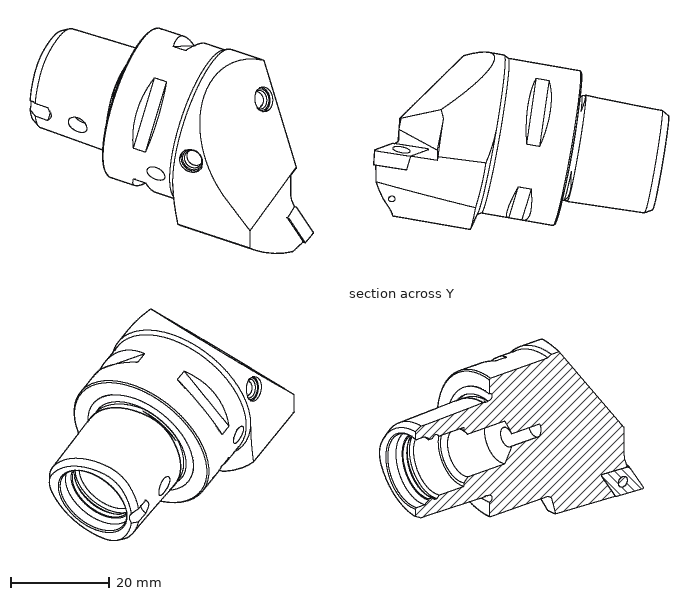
import cadquery as cq
import math


shank_length = 19.0
shank_corner_reach = 11.55
shank_flat_reach = 10.5
corner_center_offset = 4.5
shank_taper_inset = 0.4
nose_chamfer_length = 1.5
nose_chamfer_inset = 0.85
neck_length = 1.6
neck_straight_length = 0.9
neck_inset = 0.1
neck_corner_radius = 10.9

mouth_radius, mouth_chamfer = 8.15, 0.3
guide_radius, guide_depth = 7.9, 2.4
land_radius, land_depth = 7.2, 3.45
main_radius, main_end = 6.9, 12.5
groove_radius, groove_start, groove_end = 7.5, 4.4, 6.15
seat_radius = 6.15
inner_radius, inner_start, inner_end = 5.1, 13.5, 23.0
coolant_radius, coolant_end = 2.08, 32.0
drill_half_angle = math.radians(59)

flange_radius = 16.0
flange_length = 15.1
flange_chamfer = 0.3
trough_outer_radius = 12.5
trough_inner_radius = 11.0
collar_length = 0.35

head_start = 16.0
head_radius = 16.5
head_reach = 45.0
shoulder_angle = math.radians(15)
nose_draft = 6.0
end_face_x = 34.95
end_fillet_radius = 7.6
bevel_angle = math.radians(40)
bevel_start_x = 18.2
top_cut_normal = cq.Vector(7.3, -1.13, 5.4).normalized()
top_cut_point = cq.Vector(27.85, -head_radius, 0)

tip_x, tip_z = 40.0, -22.0
insert_edge = 7.75
insert_angle = 55.0
insert_lead = 3.0
insert_thickness = 3.18
insert_relief = 7.0
tip_radius = 0.4
bottom_overhang = 0.15
flank_overhang = 0.38
chip_floor_x, chip_floor_z = 27.0, -15.0
chip_top_z = -6.4

screw_head_radius, screw_head_height = 1.8, 1.2
screw_radius, screw_length = 1.1, 7.0
screw_point_radius, screw_reach = 0.65, 9.5

socket_radius = 2.5
sleeve_sink = 0.85
sleeve_chamfer = 0.3
ball_radius = 1.9
ball_depth = 2.9
side_nozzle_x = 19.5
side_nozzle_angle = math.radians(22.8)
top_nozzle_x, top_nozzle_y = 26.3, 5.95


def polar(radius, degrees):
    angle = math.radians(degrees)
    return cq.Vector(radius * math.cos(angle), radius * math.sin(angle))


def revolve_about_x(profile):
    """Turn a closed outline of (x, radius) points about the X axis."""
    return cq.Workplane("XY").polyline(profile).close().revolve(360, (0, 0), (1, 0))


def polygon_wire(x, inset):
    """Three-cornered section with tangent arcs, one corner toward +Y, pulled inward by inset."""
    reach_gap = shank_corner_reach - shank_flat_reach
    side_center_offset = (2 * reach_gap * corner_center_offset - reach_gap**2) / (
        corner_center_offset - 2 * reach_gap
    )
    corner_radius = shank_corner_reach - corner_center_offset
    corner_center = polar(corner_center_offset, 0)
    seam_ray = corner_center - polar(side_center_offset, 240)
    seam = corner_center + seam_ray.normalized() * (corner_radius - inset)
    seam_radius = math.hypot(seam.x, seam.y)
    seam_angle = math.degrees(math.atan2(seam.y, seam.x))

    section = cq.Workplane("YZ", origin=(x, 0, 0)).moveTo(*polar(seam_radius, -seam_angle).toTuple()[:2])
    for corner in (0, 120, 240):
        section = section.threePointArc(
            polar(shank_corner_reach - inset, corner).toTuple()[:2],
            polar(seam_radius, corner + seam_angle).toTuple()[:2],
        ).threePointArc(
            polar(shank_flat_reach - inset, corner + 60).toTuple()[:2],
            polar(seam_radius, corner + 120 - seam_angle).toTuple()[:2],
        )
    return section.close().val()


def make_shank():
    sections = [
        polygon_wire(-shank_length, shank_taper_inset + nose_chamfer_inset),
        polygon_wire(nose_chamfer_length - shank_length, shank_taper_inset),
        polygon_wire(-neck_length, 0),
    ]
    cone = cq.Workplane(cq.Solid.makeLoft(sections, True))
    neck = cq.Workplane(
        cq.Solid.extrudeLinear(polygon_wire(-neck_length, neck_inset), [], cq.Vector(neck_length, 0, 0))
    )
    corner_relief = revolve_about_x(
        [
            (-neck_length, 0),
            (-neck_length, shank_corner_reach),
            (-neck_straight_length, neck_corner_radius),
            (0, neck_corner_radius),
            (0, 0),
        ]
    )
    return cone.union(neck.intersect(corner_relief))


def make_bore():
    """Stepped bore, with depths counted from the free end of the shank."""
    inner_tip = (inner_radius - coolant_radius) / math.tan(drill_half_angle)
    coolant_tip = coolant_radius / math.tan(drill_half_angle)
    groove_depth = groove_radius - main_radius
    steps = [
        (0, 0),
        (0, mouth_radius),
        (mouth_chamfer, guide_radius),
        (guide_depth, guide_radius),
        (land_depth, land_radius),
        (land_depth, main_radius),
        (groove_start, main_radius),
        (groove_start + groove_depth, groove_radius),
        (groove_end - groove_depth, groove_radius),
        (groove_end, main_radius),
        (main_end, main_radius),
        (main_end, seat_radius),
        (inner_start, inner_radius),
        (inner_end, inner_radius),
        (inner_end + inner_tip, coolant_radius),
        (coolant_end, coolant_radius),
        (coolant_end + coolant_tip, 0),
    ]
    return revolve_about_x([(depth - shank_length, radius) for depth, radius in steps])


def make_shank_keyway():
    """Round channel along the -Y side, open at the free end, with a drilled end."""
    radius, axis_y, length = 2.1, -10.8, 4.3
    tip = radius / math.tan(drill_half_angle)
    channel = revolve_about_x([(0, 0), (0, radius), (length, radius), (length + tip, 0)])
    return channel.translate((-shank_length, axis_y, 0))


def make_shank_cross_hole():
    """Blind hole in the -Y side, stopping short of the bore."""
    x, radius, floor_reach = -7.9, 2.1, 7.5
    hole = cq.Workplane("XZ", origin=(x, -floor_reach, 0)).circle(radius)
    return hole.extrude(shank_corner_reach - floor_reach)


def make_flange():
    trough_depth = (trough_outer_radius - trough_inner_radius) / 2
    trough_bottom = (trough_depth, trough_inner_radius + trough_depth)
    return (
        cq.Workplane("XY")
        .moveTo(-collar_length, 0)
        .lineTo(-collar_length, trough_inner_radius)
        .lineTo(0, trough_inner_radius)
        .threePointArc(trough_bottom, (0, trough_outer_radius))
        .lineTo(0, flange_radius - flange_chamfer)
        .lineTo(flange_chamfer, flange_radius)
        .lineTo(flange_length, flange_radius)
        .lineTo(head_start, head_radius)
        .lineTo(head_start, 0)
        .close()
        .revolve(360, (0, 0), (1, 0))
    )


def make_gripper_slot(angle):
    """Trapezoidal slot across the flange; its floor faces the given angle from +Y."""
    slot_x, floor_radius, floor_width, mouth_width = 8.05, 14.13, 2.7, 4.7
    slot = (
        cq.Workplane("XY")
        .polyline(
            [
                (slot_x - floor_width / 2, floor_radius),
                (slot_x - mouth_width / 2, flange_radius),
                (slot_x + mouth_width / 2, flange_radius),
                (slot_x + floor_width / 2, floor_radius),
            ]
        )
        .close()
        .extrude(flange_radius, both=True)
    )
    return slot.rotate((0, 0, 0), (1, 0, 0), angle)


def make_index_dimple():
    x, radius = 12.05, 2.0
    depth = radius / math.tan(drill_half_angle)
    dimple = cq.Solid.makeCone(radius, 0, depth, cq.Vector(x, -flange_radius, 0), cq.Vector(0, 1, 0))
    return cq.Workplane(dimple)


lower_direction = 180 - insert_lead
end_direction = lower_direction - insert_angle
bisector = lower_direction - insert_angle / 2
half_angle = math.radians(insert_angle / 2)
tip_arc_center = cq.Vector(tip_x - tip_radius, tip_z + tip_radius)
sharp_tip = tip_arc_center - polar(tip_radius / math.sin(half_angle), bisector)
insert_center = sharp_tip + polar(insert_edge * math.cos(half_angle), bisector)


def make_insert():
    corners = [
        sharp_tip,
        sharp_tip + polar(insert_edge, end_direction),
        sharp_tip + polar(insert_edge, end_direction) + polar(insert_edge, lower_direction),
        sharp_tip + polar(insert_edge, lower_direction),
        sharp_tip,
    ]
    outline = cq.Sketch().polygon([corner.toTuple()[:2] for corner in corners]).vertices().fillet(tip_radius)
    return cq.Workplane("XZ").placeSketch(outline).extrude(insert_thickness, taper=insert_relief)


def make_screw():
    profile = [
        (0, 0),
        (screw_head_radius, 0),
        (screw_radius, screw_head_height),
        (screw_radius, screw_length),
        (screw_point_radius, screw_length + screw_radius - screw_point_radius),
        (screw_point_radius, screw_reach),
        (0, screw_reach),
    ]
    screw = cq.Workplane("XY").polyline(profile).close().revolve(360, (0, 0), (0, 1))
    return screw.rotate((0, 0, 0), (0, 0, 1), 180).translate((insert_center.x, 0, insert_center.y))


def make_screw_outlet():
    """Hole beyond the screw's point, out through the belly of the jaw."""
    plane = cq.Workplane("XZ", origin=(insert_center.x, 0, insert_center.y))
    return plane.circle(screw_point_radius).extrude(head_radius)


def make_head_section():
    """Section across X: round above, a flat on -Y, and a jaw reaching down to the insert."""
    web_angle = math.radians(24.5)
    web_start = (head_radius * math.sin(web_angle), -head_radius * math.cos(web_angle))
    web_middle, web_end = (3.9, -17.3), (0.3, -22.3)
    belly_start_z = -12.5
    belly_middle, belly_end = (-7.36, -20.8), (-1.6, -23.1)
    return (
        cq.Workplane("YZ", origin=(head_start, 0, 0))
        .moveTo(-head_radius, 0)
        .threePointArc((0, head_radius), (head_radius, 0))
        .threePointArc((head_radius * math.sin(math.pi / 4), -head_radius * math.cos(math.pi / 4)), web_start)
        .threePointArc(web_middle, web_end)
        .lineTo(*belly_end)
        .threePointArc(belly_middle, (-head_radius, belly_start_z))
        .close()
        .extrude(head_reach - head_start)
    )


def make_shoulder():
    """Turned envelope that gives the jaw its conical back face."""
    outer_radius = 30.0
    shoulder_end = head_start + (outer_radius - head_radius) * math.tan(shoulder_angle)
    return revolve_about_x(
        [
            (head_start, 0),
            (head_start, head_radius),
            (shoulder_end, outer_radius),
            (head_reach, outer_radius),
            (head_reach, 0),
        ]
    )


def make_nose_envelope():
    """End, flank and bottom faces of the jaw, all relieved toward -Y."""
    margin = 10.0
    back_x, top_z = head_start - margin, head_radius + margin
    lower_slope = math.tan(math.radians(insert_lead))
    flank_slope = math.tan(math.radians(end_direction))
    bottom_point = sharp_tip + polar(bottom_overhang, lower_direction - 90)
    flank_point = sharp_tip + polar(flank_overhang, end_direction + 90)
    corner_x = (
        bottom_point.y - flank_point.y + lower_slope * bottom_point.x + flank_slope * flank_point.x
    ) / (lower_slope + flank_slope)
    corner_z = flank_point.y + flank_slope * (corner_x - flank_point.x)
    bend_z = flank_point.y + flank_slope * (end_face_x - flank_point.x)

    bend_angle = math.radians(end_direction - 90)
    tangent_length = end_fillet_radius * math.tan(bend_angle / 2)
    fillet_top = (end_face_x, bend_z + tangent_length)
    fillet_bottom = cq.Vector(end_face_x, bend_z) - polar(tangent_length, end_direction)
    fillet_middle = (
        end_face_x + end_fillet_radius * (1 - math.cos(bend_angle / 2)),
        fillet_top[1] - end_fillet_radius * math.sin(bend_angle / 2),
    )
    outline = (
        cq.Workplane("XZ")
        .moveTo(back_x, top_z)
        .lineTo(end_face_x, top_z)
        .lineTo(*fillet_top)
        .threePointArc(fillet_middle, fillet_bottom.toTuple()[:2])
        .lineTo(corner_x, corner_z)
        .lineTo(back_x, bottom_point.y + lower_slope * (bottom_point.x - back_x))
        .close()
        .val()
    )
    face = cq.Face.makeFromWires(outline)
    depth = head_radius + 1
    front_half = cq.Solid.extrudeLinear(face, cq.Vector(0, -depth, 0), nose_draft)
    rear_half = cq.Solid.extrudeLinear(face, cq.Vector(0, depth, 0), -nose_draft)
    return cq.Workplane(front_half).union(cq.Workplane(rear_half))


def make_bevel():
    """Material removed from the +Y side of the head by the upright bevel."""
    end_y = head_radius - (head_reach - bevel_start_x) * math.tan(bevel_angle)
    return (
        cq.Workplane("XY")
        .polyline([(bevel_start_x, head_radius), (head_reach, head_radius), (head_reach, end_y)])
        .close()
        .extrude(2 * head_radius, both=True)
    )


def make_top_cut():
    cut_size = 120.0
    plane = cq.Plane(origin=top_cut_point, normal=top_cut_normal)
    return cq.Workplane(plane).rect(cut_size, cut_size).extrude(cut_size / 2)


def make_chip_pocket():
    """Space above the insert's cutting face, open toward the tip."""
    bottom_z = tip_z - insert_thickness
    corners = [
        (chip_floor_x, bottom_z),
        (chip_floor_x, chip_floor_z),
        (end_face_x, chip_top_z),
        (head_reach, chip_top_z),
        (head_reach, bottom_z),
    ]
    outline = cq.Workplane("XZ").polyline(corners).close()
    return outline.extrude(-head_radius)


def along_axis(seat, depth):
    mouth, outward = seat
    return mouth - outward * depth


def make_ball(seat):
    return cq.Workplane(cq.Solid.makeSphere(ball_radius, along_axis(seat, ball_depth), angleDegrees1=-90))


def make_socket(seat):
    """Hole for a sleeve, running out above the surface."""
    run_out = 1.0
    return cq.Workplane(
        cq.Solid.makeCylinder(socket_radius, ball_depth + run_out, along_axis(seat, ball_depth), seat[1])
    )


def make_sleeve(seat):
    base, length = along_axis(seat, ball_depth), ball_depth - sleeve_sink
    outer = cq.Solid.makeCylinder(socket_radius, length, base, seat[1])
    inner = cq.Solid.makeCylinder(ball_radius, length, base, seat[1])
    countersink = cq.Solid.makeCone(
        ball_radius,
        ball_radius + sleeve_chamfer,
        sleeve_chamfer,
        along_axis(seat, sleeve_sink + sleeve_chamfer),
        seat[1],
    )
    return cq.Workplane(outer).cut(cq.Workplane(inner)).cut(cq.Workplane(countersink))


side_outward = cq.Vector(0, -math.cos(side_nozzle_angle), math.sin(side_nozzle_angle))
top_nozzle_z = (
    top_cut_normal.dot(top_cut_point) - top_cut_normal.x * top_nozzle_x - top_cut_normal.y * top_nozzle_y
) / top_cut_normal.z
nozzle_seats = [
    (cq.Vector(side_nozzle_x, 0, 0) + side_outward * head_radius, side_outward),
    (cq.Vector(top_nozzle_x, top_nozzle_y, top_nozzle_z), top_cut_normal),
]

screw = make_screw()
insert = make_insert().cut(screw)
sleeves = [make_sleeve(seat) for seat in nozzle_seats]
balls = [make_ball(seat) for seat in nozzle_seats]


def make_holder():
    head = make_head_section().intersect(make_shoulder()).intersect(make_nose_envelope())
    head = head.cut(make_bevel()).cut(make_top_cut()).cut(make_chip_pocket())
    holder = make_flange().union(make_shank()).union(head)
    holder = holder.cut(make_bore()).cut(make_shank_keyway()).cut(make_shank_cross_hole())
    for angle in (45, 135, 225, 315):
        holder = holder.cut(make_gripper_slot(angle))
    holder = holder.cut(make_index_dimple()).cut(make_insert()).cut(screw)
    holder = holder.cut(make_screw_outlet())
    for seat in nozzle_seats:
        holder = holder.cut(make_socket(seat)).cut(make_ball(seat))
    return holder


holder = make_holder()

result = cq.Compound.makeCompound(
    [
        holder.solids().val(),
        insert.solids().val(),
        screw.solids().val(),
        *[sleeve.solids().val() for sleeve in sleeves],
        *[ball.solids().val() for ball in balls],
    ]
)